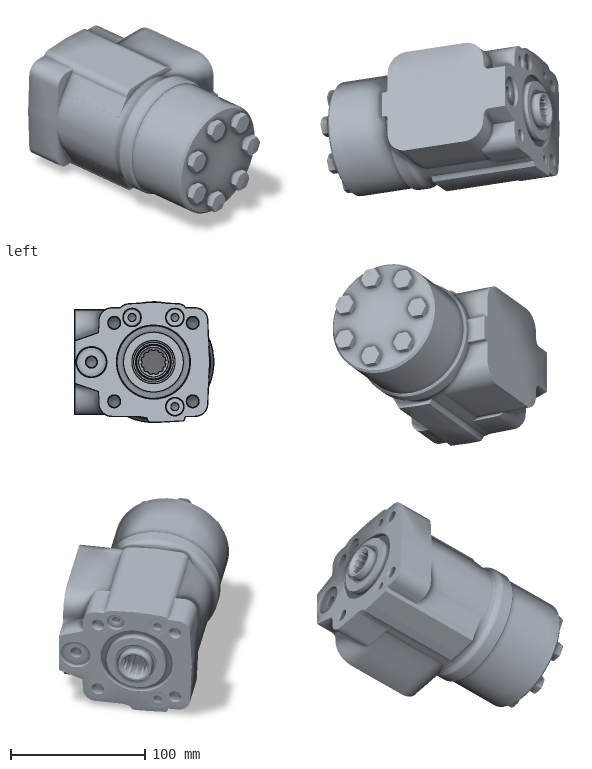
import cadquery as cq
import math


plate_end = 28.5
roof_end = 82.6
foot_end = 83.1
neck_end = 87.0
cone_start = 89.6
cone_end = 93.0
flange_start = 93.9
flange_chamfer_start = 103.0
flange_end = 104.2
gear_start = 107.9
gear_end = 141.2

body_radius = 41.8
cone_start_radius = 42.5
cone_end_radius = 44.6
flange_radius = 45.0
flange_rear_radius = 43.6
pack_diameter = 86.0

corner_half = 40.5
corner_flat = 30.9
corner_mid = 37.7
side_flat_half = 4.5
plate_half = math.sqrt(body_radius**2 - side_flat_half**2)

roof_peak = (0, 44.5)
roof_left_edge = (18.3, 43.5)
roof_left_mid = (22.5, 42.1)
roof_left_end = (26.0, 39.0)
roof_right_edge = (-18.3, 43.5)
roof_right_mid = (-22.7, 41.8)
roof_flank_top = (-24.7, 37.8)
roof_flank_bottom = (-33.7, 24.9)
inner_y = 24.9

foot_points = [
    (5.5, -41.5),
    (3.0, -44.8),
    (-5.0, -44.8),
    (-22.4, -43.8),
    (-23.2, -42.8),
    (-23.5, -41.0),
    (-32.4, -26.5),
]

port_face_y = 58.5
block_top_z = 39.0
block_front_x = 17.6
block_rear_x = 95.4
block_corner_radius = 15.1
front_fillet_top_z = 20.7
front_fillet_radius = 5.1
rear_ledge_z = 9.5
rear_fillet_radius = 2.2
rear_boss_x = 99.9
rear_boss_round = 1.2
lug_outer_z = 15.8
lug_inner_z = 21.9
lug_inner_y = 41.0

drill_tip_angle = 118.0
mount_hole_pitch = 58.4
mount_hole_diameter = 9.0
mount_hole_mouth = 9.6
mount_hole_mouth_depth = 0.3
mount_hole_depth = 19.9
screw_y = 16.0
screw_z = 33.2
screw_recess_diameter = 13.0
screw_recess_mouth = 13.8
screw_mouth_depth = 0.2
screw_deep_recess = 2.7
screw_shallow_recess = 0.2
screw_socket_mouth = 8.0
screw_socket_mouth_depth = 0.2
screw_socket_diameter = 6.0
screw_socket_depth = 3.3
plug_y = 46.1
plug_diameter = 22.0
plug_mouth_diameter = 23.0
plug_mouth_depth = 0.5
plug_recess = 2.7
plug_socket_diameter = 8.3
plug_socket_mouth = 9.0
plug_socket_mouth_depth = 0.3
plug_socket_depth = 4.6

groove_diameter = 54.1
groove_depth = 3.7
groove_chamfer = 0.5
ring_diameter = 44.5
ring_height = 2.2
seal_mouth_diameter = 32.2
seal_diameter = 29.5
seal_floor = -1.3
clearance_diameter = 26.5
clearance_depth = 3.3

shaft_start = -7.5
shaft_shoulder = -5.3
shaft_end = 41.5
shaft_diameter = 25.4
shaft_tip_diameter = 24.9
spline_mouth_diameter = 22.0
spline_root_diameter = 18.6
spline_tip_radius = 8.5
spline_teeth = 12
tooth_radius = 1.5
spline_depth = 29.9

cover_end = 151.5
cover_chamfer = 1.7
bolt_count = 7
bolt_circle_radius = 32.0
bolt_collar_diameter = 12.0
bolt_head_start = 153.5
bolt_head_end = 158.5
bolt_head_flats = 13.5
bolt_head_corners = bolt_head_flats / math.cos(math.pi / 6)
bolt_head_chamfer = 0.58


def prism(outline, x_start, x_end):
    """Extrude along X the YZ outline that the given function draws."""
    return outline(cq.Workplane("YZ", origin=(x_start, 0, 0))).close().extrude(x_end - x_start)


def cylinder(diameter, x_start, x_end, y=0.0, z=0.0):
    """A cylinder along X."""
    return cq.Workplane("YZ", origin=(x_start, y, z)).circle(diameter / 2).extrude(x_end - x_start)


def cone(start_diameter, end_diameter, x_start, x_end, y=0.0, z=0.0):
    """A cone along X; an end diameter of zero gives a point."""
    profile = [(x_start, 0), (x_start, start_diameter / 2), (x_end, end_diameter / 2)]
    if end_diameter > 0:
        profile.append((x_end, 0))
    turned = cq.Workplane("XY").polyline(profile).close().revolve(360, (0, 0, 0), (1, 0, 0))
    return turned.translate((0, y, z))


def drilled_hole(diameter, x_start, depth, y, z):
    """A blind hole along X with a conical drill tip."""
    tip_length = diameter / 2 / math.tan(math.radians(drill_tip_angle / 2))
    tip_start = x_start + depth
    straight = cylinder(diameter, x_start, tip_start, y, z)
    return straight.union(cone(diameter, 0, tip_start, tip_start + tip_length, y, z))


def arc_inset(radius):
    """Distance from the corner of a rounded right angle to the middle of its arc, along either side."""
    return radius * (1 - math.sqrt(0.5))


def turned_body():
    profile = [
        (0, 0),
        (0, body_radius),
        (neck_end, body_radius),
        (cone_start, cone_start_radius),
        (cone_end, cone_end_radius),
        (flange_start, flange_radius),
        (flange_chamfer_start, flange_radius),
        (flange_end, flange_rear_radius),
        (flange_end, 0),
    ]
    body = cq.Workplane("XY").polyline(profile).close().revolve(360, (0, 0, 0), (1, 0, 0))
    return body.union(cylinder(pack_diameter, flange_end, gear_start))


def plate_outline(sketch):
    return (
        sketch.moveTo(-corner_flat, corner_half)
        .lineTo(corner_flat, corner_half)
        .threePointArc((corner_mid, corner_mid), (corner_half, corner_flat))
        .lineTo(plate_half, side_flat_half)
        .lineTo(plate_half, -side_flat_half)
        .lineTo(corner_half, -corner_flat)
        .threePointArc((corner_mid, -corner_mid), (corner_flat, -corner_half))
        .lineTo(-corner_flat, -corner_half)
        .threePointArc((-corner_mid, -corner_mid), (-corner_half, -corner_flat))
        .lineTo(-plate_half, -side_flat_half)
        .lineTo(-plate_half, side_flat_half)
        .lineTo(-corner_half, corner_flat)
        .threePointArc((-corner_mid, corner_mid), (-corner_flat, corner_half))
    )


def roof_outline(sketch):
    return (
        sketch.moveTo(*roof_peak)
        .lineTo(*roof_left_edge)
        .threePointArc(roof_left_mid, roof_left_end)
        .lineTo(roof_left_end[0], 0)
        .lineTo(-inner_y, 0)
        .lineTo(*roof_flank_bottom)
        .lineTo(*roof_flank_top)
        .threePointArc(roof_right_mid, roof_right_edge)
    )


def foot_outline(sketch):
    sketch = sketch.moveTo(foot_points[0][0], 0)
    for point in foot_points:
        sketch = sketch.lineTo(*point)
    return sketch.lineTo(-inner_y, 0)


def lug_outline(sketch):
    return (
        sketch.moveTo(0, lug_inner_z)
        .lineTo(lug_inner_y, lug_inner_z)
        .lineTo(port_face_y, lug_outer_z)
        .lineTo(port_face_y, -lug_outer_z)
        .lineTo(lug_inner_y, -lug_inner_z)
        .lineTo(0, -lug_inner_z)
    )


def port_block():
    """Block with rounded corners along Y, symmetric about Z = 0."""
    corner_inset = arc_inset(block_corner_radius)
    front_inset = arc_inset(front_fillet_radius)
    rear_inset = arc_inset(rear_fillet_radius)
    boss_inset = arc_inset(rear_boss_round)
    corner_z = block_top_z - block_corner_radius
    front_toe_x = block_front_x - front_fillet_radius
    front_toe_z = front_fillet_top_z - front_fillet_radius
    upper_half = (
        cq.Workplane("XZ", origin=(0, port_face_y, 0))
        .moveTo(front_toe_x, 0)
        .lineTo(front_toe_x, front_toe_z)
        .threePointArc(
            (block_front_x - front_inset, front_toe_z + front_inset),
            (block_front_x, front_fillet_top_z),
        )
        .lineTo(block_front_x, corner_z)
        .threePointArc(
            (block_front_x + corner_inset, block_top_z - corner_inset),
            (block_front_x + block_corner_radius, block_top_z),
        )
        .lineTo(block_rear_x - block_corner_radius, block_top_z)
        .threePointArc(
            (block_rear_x - corner_inset, block_top_z - corner_inset),
            (block_rear_x, corner_z),
        )
        .lineTo(block_rear_x, rear_ledge_z + rear_fillet_radius)
        .threePointArc(
            (block_rear_x + rear_inset, rear_ledge_z + rear_inset),
            (block_rear_x + rear_fillet_radius, rear_ledge_z),
        )
        .lineTo(rear_boss_x - rear_boss_round, rear_ledge_z)
        .threePointArc(
            (rear_boss_x - boss_inset, rear_ledge_z - boss_inset),
            (rear_boss_x, rear_ledge_z - rear_boss_round),
        )
        .lineTo(rear_boss_x, 0)
        .close()
        .extrude(port_face_y)
    )
    return upper_half.union(upper_half.mirror("XY"))


def screw_recess(y, z, depth):
    """Counterbore of a sunk screw with the socket in its head."""
    recess = cylinder(screw_recess_diameter, 0, depth, y, z)
    recess = recess.union(cone(screw_recess_mouth, screw_recess_diameter, 0, screw_mouth_depth, y, z))
    socket_mouth_end = depth + screw_socket_mouth_depth
    recess = recess.union(cone(screw_socket_mouth, screw_socket_diameter, depth, socket_mouth_end, y, z))
    return recess.union(drilled_hole(screw_socket_diameter, depth, screw_socket_depth, y, z))


def shaft():
    """Shaft end with an internal spline of round teeth and a conical lead-in."""
    spline_end = shaft_start + spline_depth
    sleeve = cylinder(shaft_diameter, shaft_shoulder, shaft_end)
    sleeve = sleeve.union(cone(shaft_tip_diameter, shaft_diameter, shaft_start, shaft_shoulder))
    bore = cylinder(spline_root_diameter, shaft_start, spline_end)
    tooth_circle_radius = spline_tip_radius + tooth_radius
    for i in range(spline_teeth):
        angle = 2 * math.pi * i / spline_teeth
        y = tooth_circle_radius * math.cos(angle)
        z = tooth_circle_radius * math.sin(angle)
        bore = bore.cut(cylinder(2 * tooth_radius, shaft_start, spline_end, y, z))
    lead_end = shaft_start + spline_mouth_diameter / 2 - spline_tip_radius
    bore = bore.union(cone(spline_mouth_diameter, 2 * spline_tip_radius, shaft_start, lead_end))
    return sleeve.cut(bore)


housing = turned_body()
housing = housing.union(prism(plate_outline, 0, plate_end))
housing = housing.union(prism(roof_outline, 0, roof_end))
housing = housing.union(prism(foot_outline, 0, foot_end))
housing = housing.union(port_block())
housing = housing.union(prism(lug_outline, 0, block_front_x))

groove_mouth_diameter = groove_diameter + 2 * groove_chamfer
housing = housing.cut(cylinder(groove_diameter, 0, groove_depth))
housing = housing.cut(cone(groove_mouth_diameter, groove_diameter, 0, groove_chamfer))
housing = housing.union(cylinder(ring_diameter, -ring_height, groove_depth))
housing = housing.cut(cone(seal_mouth_diameter, seal_diameter, -ring_height, seal_floor))
housing = housing.cut(cylinder(clearance_diameter, -ring_height, clearance_depth))

for y_side in (-1, 1):
    for z_side in (-1, 1):
        hole_y = y_side * mount_hole_pitch / 2
        hole_z = z_side * mount_hole_pitch / 2
        housing = housing.cut(drilled_hole(mount_hole_diameter, 0, mount_hole_depth, hole_y, hole_z))
        housing = housing.cut(
            cone(mount_hole_mouth, mount_hole_diameter, 0, mount_hole_mouth_depth, hole_y, hole_z)
        )

housing = housing.cut(screw_recess(screw_y, screw_z, screw_deep_recess))
for screw_side in (-1, 1):
    housing = housing.cut(screw_recess(-screw_y, screw_side * screw_z, screw_shallow_recess))

plug_socket_mouth_end = plug_recess + plug_socket_mouth_depth
housing = housing.cut(cylinder(plug_diameter, 0, plug_recess, plug_y))
housing = housing.cut(cone(plug_mouth_diameter, plug_diameter, 0, plug_mouth_depth, plug_y))
housing = housing.cut(drilled_hole(plug_socket_diameter, plug_recess, plug_socket_depth, plug_y, 0))
housing = housing.cut(cone(plug_socket_mouth, plug_socket_diameter, plug_recess, plug_socket_mouth_end, plug_y))

housing = housing.cut(cylinder(shaft_diameter, 0, shaft_end))
housing = housing.union(shaft())

gear_ring = cylinder(pack_diameter, gear_start, gear_end)


def bolt(y, z):
    """Round collar and chamfered hexagon head."""
    collar = cylinder(bolt_collar_diameter, cover_end, bolt_head_start, y, z)
    hexagon = cq.Workplane("YZ", origin=(bolt_head_start, y, z)).polygon(6, bolt_head_corners)
    head = hexagon.extrude(bolt_head_end - bolt_head_start)
    rounding = cylinder(bolt_head_corners, bolt_head_start, bolt_head_end, y, z)
    head = head.intersect(rounding.edges().chamfer(bolt_head_chamfer))
    return collar.union(head)


end_cover = cylinder(pack_diameter, gear_end, cover_end).faces(">X").chamfer(cover_chamfer)
for i in range(bolt_count):
    bolt_angle = 2 * math.pi * i / bolt_count
    bolt_y = bolt_circle_radius * math.cos(bolt_angle)
    bolt_z = bolt_circle_radius * math.sin(bolt_angle)
    end_cover = end_cover.union(bolt(bolt_y, bolt_z))

result = cq.Compound.makeCompound([housing.val(), gear_ring.val(), end_cover.val()])